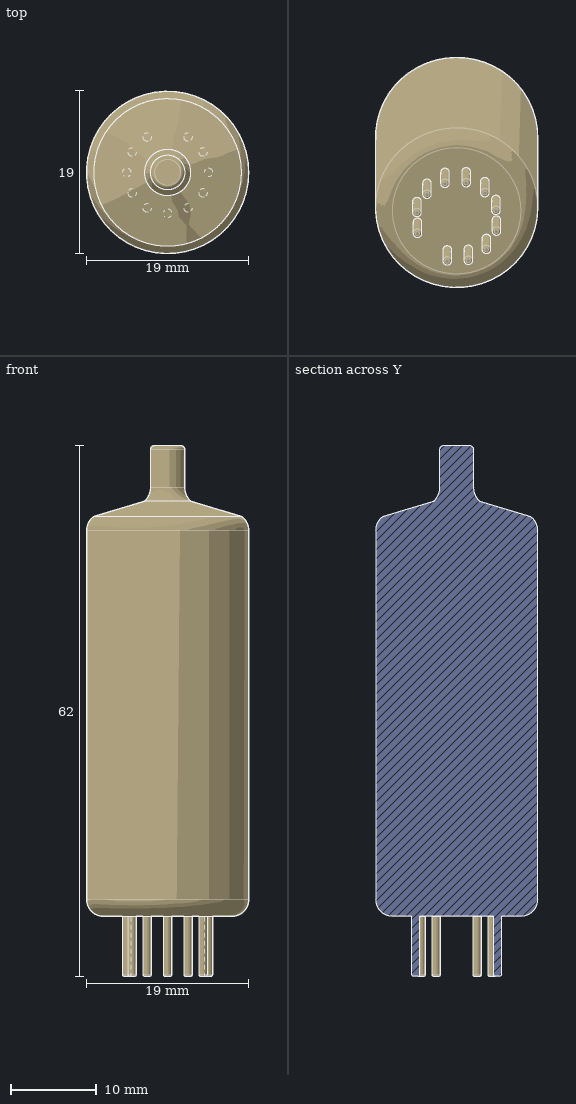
import cadquery as cq
import math

total_height = 62.0
body_radius = 19.0 / 2
stem_radius = 4.0 / 2

pin_length = 7.0
base_round = 2.0
shoulder_start = 52.1
shoulder_round = 2.0
shoulder_inset = 0.85
neck_start = 57.1
neck_round = 2.25
neck_flare = 0.7
stem_tip_round = 0.5

pin_radius = 1.0 / 2
pin_circle_radius = 4.8
pin_places = 12
empty_place = pin_places // 4
pin_tip_round = 0.25
pin_embed = 0.6


def arc_from_vertical(start_radius, start_z, round_radius, radial_step, side, rise):
    """Middle and end points of an arc that leaves a vertical wall tangentially.

    side is -1 when the arc curves toward the axis and +1 when it flares outward;
    rise is +1 when the arc climbs and -1 when it descends.
    """
    sweep = math.acos(1 - radial_step / round_radius)
    return [
        (
            start_radius + side * round_radius * (1 - math.cos(angle)),
            start_z + rise * round_radius * math.sin(angle),
        )
        for angle in (sweep / 2, sweep)
    ]


def make_envelope():
    """Revolve the cylinder, conical top and exhaust stem as one profile."""
    base_mid, base_end = arc_from_vertical(
        body_radius, pin_length + base_round, base_round, base_round, -1, -1
    )
    shoulder_mid, shoulder_end = arc_from_vertical(
        body_radius, shoulder_start, shoulder_round, shoulder_inset, -1, 1
    )
    neck_mid, neck_end = arc_from_vertical(
        stem_radius, neck_start, neck_round, neck_flare, 1, -1
    )
    profile = (
        cq.Workplane("XZ")
        .moveTo(0, pin_length)
        .lineTo(*base_end)
        .threePointArc(base_mid, (body_radius, pin_length + base_round))
        .lineTo(body_radius, shoulder_start)
        .threePointArc(shoulder_mid, shoulder_end)
        .lineTo(*neck_end)
        .threePointArc(neck_mid, (stem_radius, neck_start))
        .lineTo(stem_radius, total_height)
        .lineTo(0, total_height)
        .close()
    )
    envelope = profile.revolve(360, (0, 0, 0), (0, 1, 0))
    return envelope.faces(">Z").edges().fillet(stem_tip_round)


def make_pin():
    """One round pin on the Z axis with a rounded lower tip."""
    pin = cq.Workplane("XY").circle(pin_radius).extrude(pin_length + pin_embed)
    return pin.faces("<Z").edges().fillet(pin_tip_round)


result = make_envelope()
pin = make_pin()
for place in range(pin_places):
    if place == empty_place:
        continue
    angle = 2 * math.pi * place / pin_places
    x = pin_circle_radius * math.cos(angle)
    y = pin_circle_radius * math.sin(angle)
    result = result.union(pin.translate((x, y, 0)))